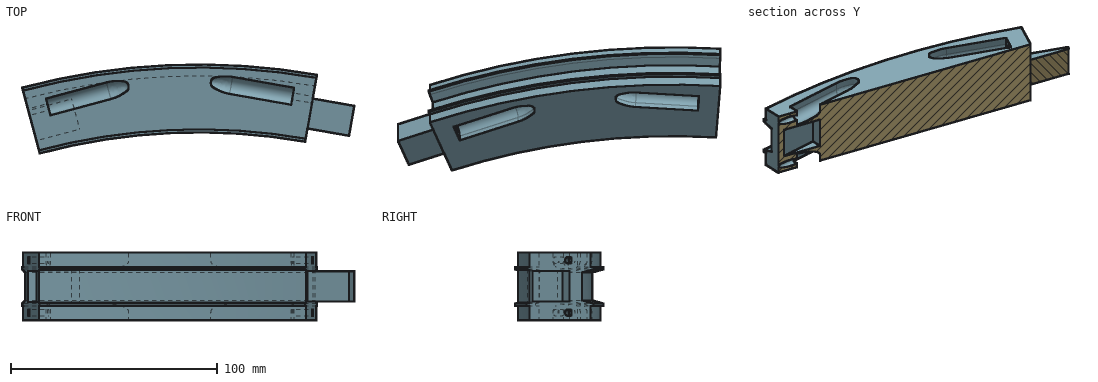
import cadquery as cq
import math

mid_radius = 314.0
left_angle = 15.0
right_angle = 10.0
height = 33.0
body_width = 30.0

ridge_height = 1.53
ridge_top_z = 9.5
ridge_tip_height = 1.1
ridge_root_height = 1.6

channel_depth = 4.0
channel_floor_half = 6.8

tenon_size = 14.8
tenon_length = 20.5
joint_clearance = 0.3
socket_size = tenon_size + joint_clearance
socket_depth = 21.7
joint_inward_offset = 2.5
joint_radius = mid_radius - joint_inward_offset

pocket_radius = 4.2
pocket_straight = 30.3
pocket_nose = 10.0
pocket_setback = 9.8
pocket_outward_offset = 4.2
pocket_center_radius = mid_radius + pocket_outward_offset
pocket_axis_z = 12.7
screw_hole_diameter = 3.2

half_height = height / 2
inner_radius = mid_radius - body_width / 2
outer_radius = mid_radius + body_width / 2


def beam_profile():
    """Cross-section in radius and Z, with ridges on both sides and the outer channel."""
    tip_bottom = ridge_top_z - ridge_tip_height
    root_bottom = ridge_top_z - ridge_root_height
    upper_half = [
        (outer_radius - channel_depth, channel_floor_half),
        (outer_radius, root_bottom),
        (outer_radius + ridge_height, tip_bottom),
        (outer_radius + ridge_height, ridge_top_z),
        (outer_radius, ridge_top_z),
        (outer_radius, half_height),
        (inner_radius, half_height),
        (inner_radius, ridge_top_z),
        (inner_radius - ridge_height, ridge_top_z),
        (inner_radius - ridge_height, tip_bottom),
        (inner_radius, root_bottom),
    ]
    lower_half = [(radius, -z) for radius, z in reversed(upper_half)]
    return cq.Workplane("XZ").polyline(upper_half + lower_half).close()


def beam():
    sweep_angle = left_angle + right_angle
    arc = beam_profile().revolve(sweep_angle, (0, 0, 0), (0, -1, 0))
    return arc.rotate((0, 0, 0), (0, 0, 1), 90 + left_angle)


def at_left_end(shape):
    """Place a shape built with +X going into the left end and Y as the radius."""
    return shape.rotate((0, 0, 0), (0, 0, 1), left_angle)


def at_right_end(shape):
    """Place a shape built with -X going into the right end and Y as the radius."""
    return shape.rotate((0, 0, 0), (0, 0, 1), -right_angle)


def joint_block(size, length):
    return cq.Workplane("YZ").center(joint_radius, 0).rect(size, size).extrude(length)


def half_pocket_outline():
    """Half of the bullet outline, between the pocket axis and its outer side."""
    nose_start = pocket_setback + pocket_straight
    nose_tip = nose_start + pocket_nose
    nose_mid_x = nose_start + pocket_nose * math.cos(math.pi / 4)
    nose_mid_y = pocket_radius * math.sin(math.pi / 4)
    return (
        cq.Workplane("XY", origin=(0, pocket_center_radius, pocket_axis_z))
        .moveTo(pocket_setback, 0)
        .lineTo(pocket_setback, pocket_radius)
        .lineTo(nose_start, pocket_radius)
        .spline(
            [(nose_mid_x, nose_mid_y), (nose_tip, 0)],
            tangents=[(1, 0), (0, -1)],
            includeCurrent=True,
        )
        .close()
    )


def screw_pocket():
    """Top-face pocket with a round floor and an elliptical nose, plus its screw hole."""
    bullet = half_pocket_outline().revolve(360, (0, 0, 0), (1, 0, 0))
    half_slot = half_pocket_outline().extrude(half_height - pocket_axis_z)
    other_half = half_slot.mirror("XZ", (0, pocket_center_radius, 0))
    screw_hole = (
        cq.Workplane("YZ")
        .center(pocket_center_radius, pocket_axis_z)
        .circle(screw_hole_diameter / 2)
        .extrude(pocket_setback + pocket_radius)
    )
    return bullet.union(half_slot).union(other_half).union(screw_hole)


def make_housing():
    housing = beam().cut(at_left_end(joint_block(socket_size, socket_depth)))
    top_pocket = screw_pocket()
    for pocket in (top_pocket, top_pocket.mirror("XY")):
        housing = housing.cut(at_left_end(pocket))
        housing = housing.cut(at_right_end(pocket.mirror("YZ")))
    return housing


def make_tenon():
    """Square block standing on the right end face."""
    return at_right_end(joint_block(tenon_size, tenon_length))


housing = make_housing()
tenon = make_tenon()
result = cq.Compound.makeCompound([housing.val(), tenon.val()])